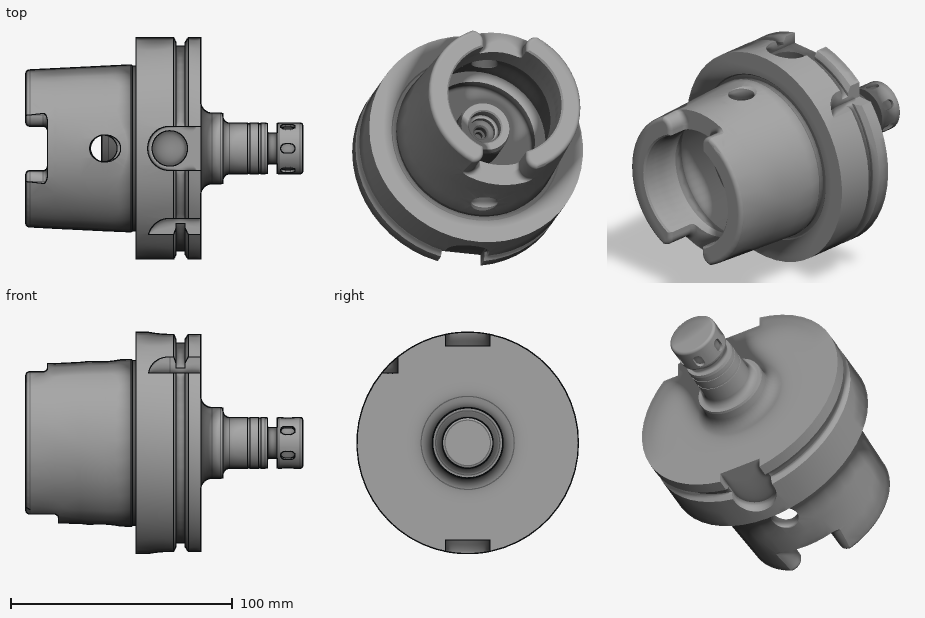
import cadquery as cq
import math

LENGTH = 125.0

SHANK_LENGTH = 49.8
TAPER_END_X = 47.5
SHANK_TIP_RADIUS = 35.5
SHANK_BASE_RADIUS = 37.8
RIM_FILLET = 1.9
RELIEF_DEPTH = 0.5
RELIEF_CHAMFER = 0.8

SLOT_WIDTH = 20.0
SLOT_DEPTH_TOP = 9.8
SLOT_DEPTH_BOTTOM = 14.8
SLOT_FLARE_RADIUS = 5.0
SLOT_FLARE_Z = 27.1
SLOT_FILLET = 1.9

BORE_RADIUS = 26.5
BORE_MOUTH_CHAMFER = 0.8
UNDERCUT_START_X = 19.6
UNDERCUT_RADIUS = 31.5
UNDERCUT_ANGLE = 30.0
UNDERCUT_END_X = 46.2
BORE_FLOOR_X = 52.5
BORE_FLOOR_FILLET = 1.4

FITTING_TIP_X = 34.2
FITTING_RADIUS = 12.0
FITTING_TIP_RADIUS = 11.2
FITTING_TAPER_LENGTH = 3.0

FITTING_MOUTH_RADIUS = 8.1
FITTING_BORE_RADIUS = 7.5
FITTING_BORE_DEPTH = 5.0
FITTING_STEP_RADIUS = 6.0
FITTING_STEP_DEPTH = 7.5
PASSAGE_MOUTH_RADIUS = 3.6
PASSAGE_RADIUS = 2.9
PASSAGE_DEPTH = 11.2
PASSAGE_END_RADIUS = 1.8
PASSAGE_END_DEPTH = 13.8

ACCESS_X = 35.2
ACCESS_DIAMETER = 12.0
ACCESS_SINK_DIAMETER = 14.0
ACCESS_SINK_ANGLE = 120.0

FLANGE_RADIUS = 50.0
FLANGE_END_X = 79.0
FACE_GROOVE_RADIUS = 39.6
FACE_GROOVE_DEPTH = 0.6
GROOVE_RADIUS = 46.2
GROOVE_START_X = 67.9
GROOVE_END_X = 71.8
GROOVE_BEVEL_HEIGHT = 2.4
GROOVE_FRONT_BEVEL = 1.1
GROOVE_BACK_BEVEL = 1.6

KEYWAY_WIDTH = 20.0
KEYWAY_CENTER_X = 65.0
KEYWAY_FLOOR_Z = 43.8
CORNER_NOTCH_WALL_Y = -31.5
CORNER_NOTCH_FLOOR_Z = 31.5
POCKET_DIAMETER = 16.0
POCKET_DEPTH = 6.2

COLLAR_RADIUS = 16.0
COLLAR_END_X = 89.0
COLLAR_ROOT_FILLET = 5.0
COLLAR_BEVEL_LENGTH = 1.1
NOSE_RADIUS = 11.5
NOSE_END_X = 109.1
NOSE_ROOT_FILLET = 3.0
NOSE_END_BEVEL = 1.2
NOSE_GROOVES_X = (100.0, 105.0)
NOSE_GROOVE_WIDTH = 1.1
FINE_STEP = 0.2
NECK_RADIUS = 7.0
NECK_FILLET = 0.5

NUT_START_X = 113.4
NUT_BEVEL_LENGTH = 0.9
NUT_END_FILLET = 1.2
NUT_SLOT_COUNT = 6
NUT_SLOT_LENGTH = 6.5
NUT_SLOT_WIDTH = 4.2
NUT_SLOT_DEPTH = 1.6
NUT_SLOT_X = 118.2


def revolve(profile):
    """Close an (x, radius) outline and turn it about the X axis."""
    return profile.close().revolve(360, (0, 0, 0), (1, 0, 0))


def turned(solid, angle):
    return solid.rotate((0, 0, 0), (1, 0, 0), angle)


def slot_cutter(depth):
    """Drive slot opening towards +Z, flared at the rim, with rounded front and floor edges."""
    half = SLOT_WIDTH / 2
    flare_end = half + SLOT_FLARE_RADIUS
    flare_top = SLOT_FLARE_Z + SLOT_FLARE_RADIUS
    bend = SLOT_FLARE_RADIUS * math.sqrt(0.5)
    inner_z = BORE_RADIUS / 2
    outside = FLANGE_RADIUS
    slot = (
        cq.Workplane("YZ")
        .moveTo(-half, inner_z)
        .lineTo(-half, SLOT_FLARE_Z)
        .threePointArc((-flare_end + bend, SLOT_FLARE_Z + bend), (-flare_end, flare_top))
        .lineTo(-outside, flare_top)
        .lineTo(-outside, outside)
        .lineTo(outside, outside)
        .lineTo(outside, flare_top)
        .lineTo(flare_end, flare_top)
        .threePointArc((flare_end - bend, SLOT_FLARE_Z + bend), (half, SLOT_FLARE_Z))
        .lineTo(half, inner_z)
        .close()
        .extrude(depth)
    )
    plate = (
        cq.Workplane("YZ")
        .rect(2 * outside, outside - inner_z)
        .extrude(-2 * RIM_FILLET)
        .translate((0, 0, (outside + inner_z) / 2))
    )
    flank_box = cq.selectors.BoxSelector(
        (-RIM_FILLET, -outside + 1.2, inner_z + 1.2),
        (depth + 1.2, outside - 1.2, outside - 1.2),
    )
    return slot.union(plate).edges(flank_box).edges("not #YZ").fillet(SLOT_FILLET)


def make_shank():
    relief_radius = SHANK_BASE_RADIUS - RELIEF_DEPTH
    bend = RIM_FILLET * (1 - math.sqrt(0.5))
    shank = revolve(
        cq.Workplane("XY")
        .moveTo(0, 0)
        .lineTo(0, SHANK_TIP_RADIUS - RIM_FILLET)
        .threePointArc((bend, SHANK_TIP_RADIUS - bend), (RIM_FILLET, SHANK_TIP_RADIUS))
        .lineTo(TAPER_END_X, SHANK_BASE_RADIUS)
        .lineTo(TAPER_END_X + RELIEF_CHAMFER, relief_radius)
        .lineTo(SHANK_LENGTH + FACE_GROOVE_DEPTH, relief_radius)
        .lineTo(SHANK_LENGTH + FACE_GROOVE_DEPTH, 0)
    )
    shank = shank.cut(slot_cutter(SLOT_DEPTH_TOP))
    return shank.cut(turned(slot_cutter(SLOT_DEPTH_BOTTOM), 180))


def make_flange():
    bevel_radius = FLANGE_RADIUS - GROOVE_BEVEL_HEIGHT
    return revolve(
        cq.Workplane("XY")
        .moveTo(SHANK_LENGTH + FACE_GROOVE_DEPTH, 0)
        .lineTo(SHANK_LENGTH + FACE_GROOVE_DEPTH, FACE_GROOVE_RADIUS - FACE_GROOVE_DEPTH)
        .lineTo(SHANK_LENGTH, FACE_GROOVE_RADIUS)
        .lineTo(SHANK_LENGTH, FLANGE_RADIUS)
        .lineTo(GROOVE_START_X - GROOVE_FRONT_BEVEL, FLANGE_RADIUS)
        .lineTo(GROOVE_START_X, bevel_radius)
        .lineTo(GROOVE_START_X, GROOVE_RADIUS)
        .lineTo(GROOVE_END_X, GROOVE_RADIUS)
        .lineTo(GROOVE_END_X, bevel_radius)
        .lineTo(GROOVE_END_X + GROOVE_BACK_BEVEL, FLANGE_RADIUS)
        .lineTo(FLANGE_END_X, FLANGE_RADIUS)
        .lineTo(FLANGE_END_X, 0)
    )


def concave_corner(profile, x, radius, fillet):
    """Line down the wall at x, then a fillet onto the cylinder of the given radius."""
    sag = fillet * (1 - math.sqrt(0.5))
    return (
        profile.lineTo(x, radius + fillet)
        .threePointArc((x + sag, radius + sag), (x + fillet, radius))
    )


def make_nose():
    fine_radius = NOSE_RADIUS - FINE_STEP
    profile = cq.Workplane("XY").moveTo(FLANGE_END_X, 0)
    profile = concave_corner(profile, FLANGE_END_X, COLLAR_RADIUS, COLLAR_ROOT_FILLET)
    profile = (
        profile.lineTo(COLLAR_END_X - COLLAR_BEVEL_LENGTH, COLLAR_RADIUS)
        .lineTo(COLLAR_END_X, COLLAR_RADIUS - FINE_STEP)
    )
    profile = concave_corner(profile, COLLAR_END_X, NOSE_RADIUS, NOSE_ROOT_FILLET)
    for groove_x in NOSE_GROOVES_X:
        profile = (
            profile.lineTo(groove_x, NOSE_RADIUS)
            .lineTo(groove_x, fine_radius)
            .lineTo(groove_x + NOSE_GROOVE_WIDTH, fine_radius)
            .lineTo(groove_x + NOSE_GROOVE_WIDTH, NOSE_RADIUS)
        )
    profile = (
        profile.lineTo(NOSE_END_X - NOSE_END_BEVEL, NOSE_RADIUS)
        .lineTo(NOSE_END_X, fine_radius)
    )
    profile = concave_corner(profile, NOSE_END_X, NECK_RADIUS, NECK_FILLET)
    bend = NUT_END_FILLET * (1 - math.sqrt(0.5))
    profile = (
        profile.lineTo(NUT_START_X, NECK_RADIUS)
        .lineTo(NUT_START_X, fine_radius)
        .lineTo(NUT_START_X + NUT_BEVEL_LENGTH, NOSE_RADIUS)
        .lineTo(LENGTH - NUT_END_FILLET, NOSE_RADIUS)
        .threePointArc((LENGTH - bend, NOSE_RADIUS - bend), (LENGTH, NOSE_RADIUS - NUT_END_FILLET))
        .lineTo(LENGTH, 0)
    )
    return revolve(profile)


def make_bore():
    """Clamping cavity: straight mouth, conical undercut and filleted floor."""
    undercut_rise = UNDERCUT_RADIUS - BORE_RADIUS
    undercut_run = undercut_rise / math.tan(math.radians(UNDERCUT_ANGLE))
    bend = BORE_FLOOR_FILLET * (1 - math.sqrt(0.5))
    return revolve(
        cq.Workplane("XY")
        .moveTo(0, 0)
        .lineTo(0, BORE_RADIUS + BORE_MOUTH_CHAMFER)
        .lineTo(BORE_MOUTH_CHAMFER, BORE_RADIUS)
        .lineTo(UNDERCUT_START_X, BORE_RADIUS)
        .lineTo(UNDERCUT_START_X + undercut_run, UNDERCUT_RADIUS)
        .lineTo(UNDERCUT_END_X, UNDERCUT_RADIUS)
        .lineTo(UNDERCUT_END_X, BORE_RADIUS)
        .lineTo(BORE_FLOOR_X - BORE_FLOOR_FILLET, BORE_RADIUS)
        .threePointArc(
            (BORE_FLOOR_X - bend, BORE_RADIUS - bend),
            (BORE_FLOOR_X, BORE_RADIUS - BORE_FLOOR_FILLET),
        )
        .lineTo(BORE_FLOOR_X, 0)
    )


def make_fitting():
    outer = revolve(
        cq.Workplane("XY")
        .moveTo(FITTING_TIP_X, 0)
        .lineTo(FITTING_TIP_X, FITTING_TIP_RADIUS)
        .lineTo(FITTING_TIP_X + FITTING_TAPER_LENGTH, FITTING_RADIUS)
        .lineTo(BORE_FLOOR_X, FITTING_RADIUS)
        .lineTo(BORE_FLOOR_X, 0)
    )
    bore_x = FITTING_TIP_X + FITTING_BORE_DEPTH
    step_x = FITTING_TIP_X + FITTING_STEP_DEPTH
    passage_x = FITTING_TIP_X + PASSAGE_DEPTH
    end_x = FITTING_TIP_X + PASSAGE_END_DEPTH
    mouth_bevel = FITTING_MOUTH_RADIUS - FITTING_BORE_RADIUS
    passage_bevel = PASSAGE_MOUTH_RADIUS - PASSAGE_RADIUS
    passage = revolve(
        cq.Workplane("XY")
        .moveTo(FITTING_TIP_X, 0)
        .lineTo(FITTING_TIP_X, FITTING_MOUTH_RADIUS)
        .lineTo(FITTING_TIP_X + mouth_bevel, FITTING_BORE_RADIUS)
        .lineTo(bore_x, FITTING_BORE_RADIUS)
        .lineTo(bore_x, FITTING_STEP_RADIUS)
        .lineTo(step_x, FITTING_STEP_RADIUS)
        .lineTo(step_x, PASSAGE_MOUTH_RADIUS)
        .lineTo(step_x + passage_bevel, PASSAGE_RADIUS)
        .lineTo(passage_x, PASSAGE_RADIUS)
        .lineTo(passage_x, PASSAGE_END_RADIUS)
        .lineTo(end_x, PASSAGE_END_RADIUS)
        .lineTo(end_x, 0)
    )
    return outer.cut(passage)


def access_hole():
    """Countersunk hole pointing along +Z, starting inside the undercut."""
    start_z = BORE_RADIUS
    slope = (SHANK_BASE_RADIUS - SHANK_TIP_RADIUS) / TAPER_END_X
    surface_z = SHANK_TIP_RADIUS + slope * ACCESS_X
    spread = math.tan(math.radians(ACCESS_SINK_ANGLE / 2))
    hole_radius = ACCESS_DIAMETER / 2
    sink_radius = ACCESS_SINK_DIAMETER / 2
    sink_start_z = surface_z - (sink_radius - hole_radius) / spread
    top_z = surface_z + 1.2
    top_radius = sink_radius + (top_z - surface_z) * spread
    return (
        cq.Workplane("XZ")
        .moveTo(0, start_z)
        .lineTo(hole_radius, start_z)
        .lineTo(hole_radius, sink_start_z)
        .lineTo(top_radius, top_z)
        .lineTo(0, top_z)
        .close()
        .revolve(360, (0, 0, 0), (0, 1, 0))
        .translate((ACCESS_X, 0, 0))
    )


def keyway_cutter(center_y, floor_z):
    """Round-ended keyway that runs out through the back of the flange."""
    run = FLANGE_END_X - KEYWAY_CENTER_X
    height = FLANGE_RADIUS - floor_z
    base = cq.Workplane("XY").workplane(offset=floor_z).center(KEYWAY_CENTER_X, center_y)
    round_end = base.circle(KEYWAY_WIDTH / 2).extrude(height)
    straight = base.center(run / 2, 0).rect(run, KEYWAY_WIDTH).extrude(height)
    return round_end.union(straight)


def nut_slot():
    return (
        cq.Workplane("XY")
        .workplane(offset=NOSE_RADIUS - NUT_SLOT_DEPTH)
        .center(NUT_SLOT_X, 0)
        .slot2D(NUT_SLOT_LENGTH, NUT_SLOT_WIDTH)
        .extrude(2 * NUT_SLOT_DEPTH)
    )


body = make_shank().union(make_flange()).union(make_nose())
body = body.cut(make_bore()).union(make_fitting())

for side_angle in (0, 180):
    body = body.cut(turned(access_hole(), side_angle))
    body = body.cut(turned(keyway_cutter(0, KEYWAY_FLOOR_Z), side_angle))

body = body.cut(keyway_cutter(CORNER_NOTCH_WALL_Y - KEYWAY_WIDTH / 2, CORNER_NOTCH_FLOOR_Z))

pocket = (
    cq.Workplane("XY")
    .workplane(offset=KEYWAY_FLOOR_Z - POCKET_DEPTH)
    .center(KEYWAY_CENTER_X, 0)
    .circle(POCKET_DIAMETER / 2)
    .extrude(POCKET_DEPTH)
)
body = body.cut(pocket)

for index in range(NUT_SLOT_COUNT):
    body = body.cut(turned(nut_slot(), index * 360 / NUT_SLOT_COUNT))

result = body